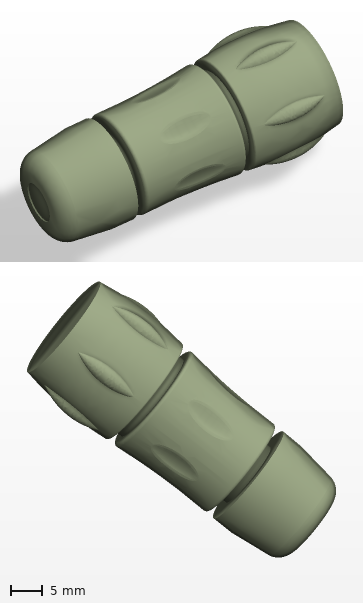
import cadquery as cq
import math

LENGTH = 50.45

CAP_REAR_Y = 12.95
CAP_CROWN_Y = 11.1
CAP_CROWN_R = 8.8
CAP_NOSE_Y = 2.45
CAP_NOSE_R = 7.8
CAP_FACE_R = 4.85
CAP_RECESS_R = 3.35
CAP_RECESS_DEPTH = 0.25

FRONT_NECK_R = 5.55
SLEEVE_FRONT_Y = 14.5
SLEEVE_WAIST_Y = 18.15
SLEEVE_WAIST_R = 8.7
SLEEVE_REAR_Y = 32.5
SLEEVE_REAR_R = 9.55
SLEEVE_EDGE_FILLET = 0.45

REAR_NECK_R = 7.7
NUT_FRONT_Y = 33.95
NUT_CROWN_Y = 40.7
NUT_CROWN_R = 10.0
NUT_REAR_R = 9.1
NUT_EDGE_FILLET = 0.3

AROUND_COUNT = 6
STEP_ANGLE = 360 / AROUND_COUNT

RIDGE_Y = 41.65
RIDGE_HALF_LENGTH = 5.9
RIDGE_R = 1.45
RIDGE_TOP_R = 11.0

DIMPLE_Y = 24.25
DIMPLE_LENGTH = 9.0
DIMPLE_WIDTH = 3.25
DIMPLE_DEPTH = 0.45
DIMPLE_EDGE_FILLET = 1


def arc_radius(half_chord, rise):
    """Radius of the circle with this rise over this half chord."""
    return (half_chord**2 + rise**2) / (2 * rise)


def arc_dip(radius, offset):
    """Drop of a circle below its crown at this distance from the crown."""
    return radius - math.sqrt(radius**2 - offset**2)


def spindle(axis_r, center_y, half_length, radius):
    """Lens-shaped body of revolution about a line parallel to Y."""
    return (
        cq.Workplane("XY")
        .moveTo(axis_r, center_y - half_length)
        .threePointArc((axis_r + radius, center_y), (axis_r, center_y + half_length))
        .close()
        .revolve(360, (axis_r, 0), (axis_r, 1))
    )


def turn(profile):
    """Close a half profile on the Y axis and revolve it."""
    return profile.close().revolve(360, (0, 0), (0, 1))


def make_neck(radius, front_y, rear_y):
    """Plain cylinder joining two of the larger bodies."""
    start = cq.Workplane("XZ", origin=(0, rear_y, 0))
    return start.circle(radius).extrude(rear_y - front_y)


def make_cap():
    flank_arc_r = arc_radius(CAP_CROWN_Y - CAP_NOSE_Y, CAP_CROWN_R - CAP_NOSE_R)
    rear_r = CAP_CROWN_R - arc_dip(flank_arc_r, CAP_REAR_Y - CAP_CROWN_Y)
    cap = turn(
        cq.Workplane("XY")
        .moveTo(0, 0)
        .lineTo(CAP_FACE_R, 0)
        .tangentArcPoint((CAP_NOSE_R, CAP_NOSE_Y), relative=False)
        .threePointArc((CAP_CROWN_R, CAP_CROWN_Y), (rear_r, CAP_REAR_Y))
        .lineTo(0, CAP_REAR_Y)
    )
    recess = cq.Workplane("XZ").circle(CAP_RECESS_R).extrude(-CAP_RECESS_DEPTH)
    return cap.cut(recess)


def sleeve_radius(y):
    """Outer radius of the waisted sleeve at a place along its length."""
    flare_arc_r = arc_radius(SLEEVE_REAR_Y - SLEEVE_WAIST_Y, SLEEVE_REAR_R - SLEEVE_WAIST_R)
    return SLEEVE_WAIST_R + arc_dip(flare_arc_r, y - SLEEVE_WAIST_Y)


def cut_dimples(sleeve):
    half_length = DIMPLE_LENGTH / 2
    half_width = DIMPLE_WIDTH / 2
    surface_r = sleeve_radius(DIMPLE_Y)
    front_r = sleeve_radius(DIMPLE_Y - half_length)
    rear_r = sleeve_radius(DIMPLE_Y + half_length)
    floor_r = surface_r - DIMPLE_DEPTH
    tilt = math.degrees(math.atan2(rear_r - front_r, DIMPLE_LENGTH))

    scoop_r = arc_radius(half_width, DIMPLE_DEPTH - arc_dip(surface_r, half_width))
    floor_arc_r = arc_radius(half_length, (front_r + rear_r) / 2 - floor_r)
    scoop_half_length = math.sqrt(2 * floor_arc_r * scoop_r - scoop_r**2)
    scoop = spindle(floor_r + scoop_r, DIMPLE_Y, scoop_half_length, scoop_r)
    scoop = scoop.rotate((floor_r, DIMPLE_Y, 0), (floor_r, DIMPLE_Y, 1), -tilt)

    for i in range(AROUND_COUNT):
        sleeve = sleeve.cut(scoop.rotate((0, 0, 0), (0, 1, 0), i * STEP_ANGLE))

    rim_reach = half_length + DIMPLE_EDGE_FILLET
    rims = cq.selectors.BoxSelector(
        (-LENGTH, DIMPLE_Y - rim_reach, -LENGTH),
        (LENGTH, DIMPLE_Y + rim_reach, LENGTH),
        boundingbox=True,
    )
    return sleeve.edges(rims).fillet(DIMPLE_EDGE_FILLET)


def make_sleeve():
    sleeve = turn(
        cq.Workplane("XY")
        .moveTo(0, SLEEVE_FRONT_Y)
        .lineTo(sleeve_radius(SLEEVE_FRONT_Y), SLEEVE_FRONT_Y)
        .threePointArc((SLEEVE_WAIST_R, SLEEVE_WAIST_Y), (SLEEVE_REAR_R, SLEEVE_REAR_Y))
        .lineTo(0, SLEEVE_REAR_Y)
    )
    sleeve = sleeve.rotate((0, 0, 0), (0, 1, 0), STEP_ANGLE / 2)
    sleeve = sleeve.faces(">Y").edges().fillet(SLEEVE_EDGE_FILLET)
    sleeve = sleeve.union(make_neck(FRONT_NECK_R, CAP_REAR_Y, SLEEVE_FRONT_Y))

    front_edges = cq.selectors.BoxSelector(
        (-LENGTH, SLEEVE_FRONT_Y - SLEEVE_EDGE_FILLET, -LENGTH),
        (LENGTH, SLEEVE_FRONT_Y + SLEEVE_EDGE_FILLET, LENGTH),
        boundingbox=True,
    )
    sleeve = sleeve.edges(front_edges).fillet(SLEEVE_EDGE_FILLET)
    return cut_dimples(sleeve)


def make_nut():
    crown_arc_r = arc_radius(LENGTH - NUT_CROWN_Y, NUT_CROWN_R - NUT_REAR_R)
    front_r = NUT_CROWN_R - arc_dip(crown_arc_r, NUT_CROWN_Y - NUT_FRONT_Y)
    nut = turn(
        cq.Workplane("XY")
        .moveTo(0, NUT_FRONT_Y)
        .lineTo(front_r, NUT_FRONT_Y)
        .threePointArc((NUT_CROWN_R, NUT_CROWN_Y), (NUT_REAR_R, LENGTH))
        .lineTo(0, LENGTH)
    )
    nut = nut.faces("<Y").edges().fillet(NUT_EDGE_FILLET)
    ridge = spindle(RIDGE_TOP_R - RIDGE_R, RIDGE_Y, RIDGE_HALF_LENGTH, RIDGE_R)
    for i in range(AROUND_COUNT):
        nut = nut.union(ridge.rotate((0, 0, 0), (0, 1, 0), (i + 0.5) * STEP_ANGLE))
    return nut


rear_neck = make_neck(REAR_NECK_R, SLEEVE_REAR_Y, NUT_FRONT_Y)
result = make_cap().union(make_sleeve()).union(rear_neck).union(make_nut())